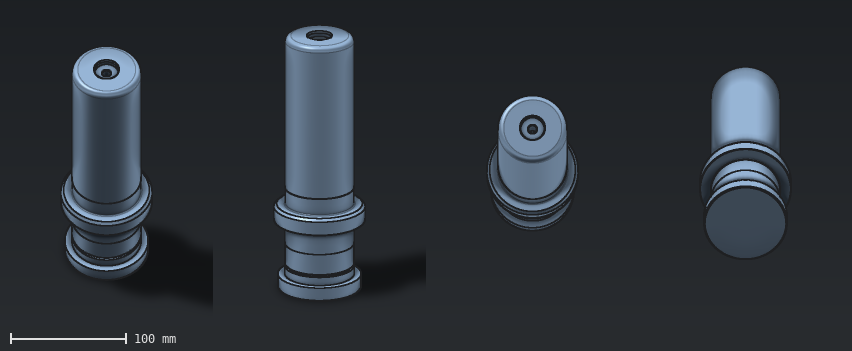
import cadquery as cq
import math

total_height = 232.0
retainer_height = 20.0
retainer_flange_height = 12.5
collar_bottom = 62.0
collar_top = 77.0
fit_line_height = 41.0
relief_top = 92.5

retainer_flange_diameter = 72.0
retainer_neck_diameter = 60.0
retainer_chamfer = 1.0

pin_diameter = 60.0
lead_diameter = 59.9
lead_chamfer_width = 2.5
lead_chamfer_height = 2.5
collar_diameter = 79.0
collar_top_chamfer = 2.5
collar_bottom_chamfer = 0.5
undercut_depth = 0.5
undercut_height = 1.5
relief_diameter = 59.4
relief_taper_height = 0.5
root_fillet = 1.0
top_round = 5.0

recess_diameter = 20.5
recess_depth = 5.0
recess_chamfer_width = 0.75
recess_chamfer_height = 1.75
bore_diameter = 6.8
bore_depth = 20.0
bore_chamfer = 0.75
drill_point_angle = 118.0


def make_retainer():
    """Flanged disc that closes the lower end of the guide pin."""
    flange = cq.Workplane("XY").circle(retainer_flange_diameter / 2).extrude(retainer_flange_height)
    flange = flange.faces("<Z").chamfer(retainer_chamfer)
    neck = cq.Workplane("XY").circle(retainer_neck_diameter / 2).extrude(retainer_height)
    return flange.union(neck)


def make_pin_blank():
    """Turned outside of the guide pin, revolved about Z."""
    pin_radius = pin_diameter / 2
    lead_radius = lead_diameter / 2
    collar_radius = collar_diameter / 2
    relief_radius = relief_diameter / 2
    undercut_radius = pin_radius - undercut_depth
    profile = (
        cq.Workplane("XZ")
        .moveTo(0, retainer_height)
        .lineTo(lead_radius - lead_chamfer_width, retainer_height)
        .lineTo(lead_radius, retainer_height + lead_chamfer_height)
        .lineTo(lead_radius, fit_line_height)
        .lineTo(pin_radius, fit_line_height)
        .lineTo(pin_radius, collar_bottom - undercut_height)
        .lineTo(undercut_radius, collar_bottom - undercut_height)
        .lineTo(undercut_radius, collar_bottom - root_fillet)
        .radiusArc((undercut_radius + root_fillet, collar_bottom), root_fillet)
        .lineTo(collar_radius - collar_bottom_chamfer, collar_bottom)
        .lineTo(collar_radius, collar_bottom + collar_bottom_chamfer)
        .lineTo(collar_radius, collar_top - collar_top_chamfer)
        .lineTo(collar_radius - collar_top_chamfer, collar_top)
        .lineTo(relief_radius + root_fillet, collar_top)
        .radiusArc((relief_radius, collar_top + root_fillet), root_fillet)
        .lineTo(relief_radius, relief_top - relief_taper_height)
        .lineTo(pin_radius, relief_top)
        .lineTo(pin_radius, total_height - top_round)
        .radiusArc((pin_radius - top_round, total_height), -top_round)
        .lineTo(0, total_height)
        .close()
    )
    return profile.revolve(360, (0, 0, 0), (0, 1, 0))


def make_centre_hole():
    """Chamfered recess with a smaller drilled bore in its floor."""
    recess_radius = recess_diameter / 2
    bore_radius = bore_diameter / 2
    recess_floor = total_height - recess_depth
    bore_bottom = recess_floor - bore_depth
    point_depth = bore_radius / math.tan(math.radians(drill_point_angle / 2))
    profile = (
        cq.Workplane("XZ")
        .moveTo(0, total_height)
        .lineTo(recess_radius + recess_chamfer_width, total_height)
        .lineTo(recess_radius, total_height - recess_chamfer_height)
        .lineTo(recess_radius, recess_floor)
        .lineTo(bore_radius + bore_chamfer, recess_floor)
        .lineTo(bore_radius, recess_floor - bore_chamfer)
        .lineTo(bore_radius, bore_bottom)
        .lineTo(0, bore_bottom - point_depth)
        .close()
    )
    return profile.revolve(360, (0, 0, 0), (0, 1, 0))


retainer = make_retainer()
guide_pin = make_pin_blank().cut(make_centre_hole())

result = cq.Compound.makeCompound([guide_pin.val(), retainer.val()])